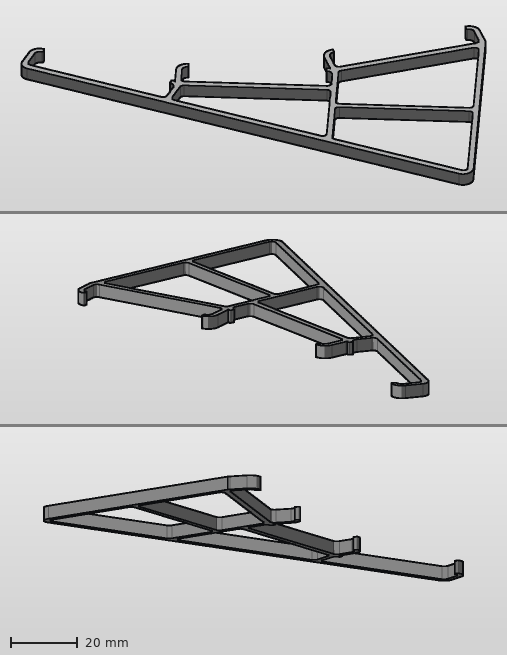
import cadquery as cq
import math


thickness = 4.0
wall = 1.8
floor_depth = 2.1
bracket_length = 146.29
tilt_step = 20.0
clip_count = 3
lean_angle = 90.0 + tilt_step

slot_width = 45.0
clip_height = 9.28
lip_thickness = 1.6
lip_reach = 1.85
lip_tip_radius = 0.25
lip_inner_radius = 1.7
lip_outer_radius = lip_inner_radius + lip_thickness
floor_radius = 1.3
outer_radius = 2.7

step_along = 45.9
step_up = 9.8

heel_radius = 3.2
window_radius = 1.2
brace_height = 17.6


def turned(vector, angle):
    """Rotate a plane vector by an angle in degrees."""
    c = math.cos(math.radians(angle))
    s = math.sin(math.radians(angle))
    return (vector[0] * c - vector[1] * s, vector[0] * s + vector[1] * c)


def moved(point, along, up, angle):
    """Point reached by going along and up in a frame tilted by angle."""
    shift = turned((along, up), angle)
    return (point[0] + shift[0], point[1] + shift[1])


def meet(line_a, line_b):
    """Crossing of two lines, each given as (point, direction angle)."""
    (ax, ay), angle_a = line_a
    (bx, by), angle_b = line_b
    ux, uy = turned((1, 0), angle_a)
    vx, vy = turned((1, 0), angle_b)
    reach = ((bx - ax) * vy - (by - ay) * vx) / (ux * vy - uy * vx)
    return (ax + reach * ux, ay + reach * uy)


def offset(line, distance):
    """Parallel line, shifted to the left of its direction for a positive distance."""
    point, angle = line
    return (moved(point, 0, distance, angle), angle)


def plate(points):
    return cq.Workplane("XY").polyline(points).close().extrude(thickness)


tilts = [tilt_step * i for i in range(clip_count)]
corners = [(wall, floor_depth)]
for tilt in tilts[:-1]:
    corners.append(moved(corners[-1], step_along, step_up, tilt))

bottom = ((0, 0), 0)
base_top = offset(bottom, floor_depth)
floors = list(zip(corners, tilts))
post_lefts = [(moved(c, slot_width, 0, t), 90 + t) for c, t in floors[:-1]]
post_rights = [offset(line, -wall) for line in post_lefts]

heel_center = (bracket_length - heel_radius, heel_radius)
leg_outer = offset((heel_center, lean_angle), -heel_radius)
leg_inner = offset(leg_outer, wall)
brace_bottom = (meet(post_rights[1], ((0, brace_height), 0)), tilt_step)
brace_top = offset(brace_bottom, wall)


def half_clip():
    """Left half of a clip: half the floor, the side wall and its inward lip."""
    middle = slot_width / 2
    lip_bottom = clip_height - lip_thickness
    outer_turn = clip_height - lip_outer_radius
    inner_turn = lip_bottom - lip_inner_radius
    profile = (
        cq.Workplane("XY")
        .moveTo(middle, -floor_depth)
        .lineTo(outer_radius - wall, -floor_depth)
        .tangentArcPoint((-wall, outer_radius - floor_depth), relative=False)
        .lineTo(-wall, outer_turn)
        .tangentArcPoint((lip_outer_radius - wall, clip_height), relative=False)
        .lineTo(lip_reach, clip_height)
        .lineTo(lip_reach, lip_bottom)
        .lineTo(lip_inner_radius, lip_bottom)
        .tangentArcPoint((0, inner_turn), relative=False)
        .lineTo(0, floor_radius)
        .tangentArcPoint((floor_radius, 0), relative=False)
        .lineTo(middle, 0)
        .close()
    )
    margin = lip_tip_radius / 2
    tip = cq.selectors.BoxSelector(
        (lip_reach - margin, lip_bottom - margin, -margin),
        (lip_reach + margin, clip_height + margin, thickness + margin),
    )
    return profile.extrude(thickness).edges("|Z").edges(tip).fillet(lip_tip_radius)


def clip(corner, tilt):
    left = half_clip()
    right = left.mirror("YZ").translate((slot_width, 0, 0))
    whole = left.union(right)
    return whole.rotate((0, 0, 0), (0, 0, 1), tilt).translate((*corner, 0))


def frame():
    """Solid outline below the clip floors, with the heel rounded."""
    heel = meet(bottom, leg_outer)
    last_wall = (moved(corners[2], slot_width, 0, tilts[2]), 90 + tilts[2])
    last_wall_outer = offset(last_wall, -wall)
    outline = [
        (outer_radius, 0),
        heel,
        meet(leg_outer, last_wall_outer),
        last_wall[0],
        corners[2],
        meet(floors[2], post_lefts[1]),
        meet(post_lefts[1], floors[1]),
        corners[1],
        meet(floors[1], post_lefts[0]),
        meet(post_lefts[0], base_top),
        (outer_radius, floor_depth),
    ]
    near_heel = cq.selectors.NearestToPointSelector((*heel, thickness / 2))
    return plate(outline).edges("|Z").edges(near_heel).fillet(heel_radius)


def window(lines):
    """Opening bounded by the given lines in order, with rounded corners."""
    points = [meet(a, b) for a, b in zip(lines, lines[1:] + lines[:1])]
    return plate(points).edges("|Z").fillet(window_radius)


shelf_bottoms = [offset(line, -floor_depth) for line in floors]
windows = [
    [base_top, post_lefts[1], shelf_bottoms[1], post_rights[0]],
    [base_top, leg_inner, brace_bottom, post_rights[1]],
    [brace_top, leg_inner, shelf_bottoms[2], post_rights[1]],
]

result = frame()
for opening in windows:
    result = result.cut(window(opening))
for corner, tilt in floors:
    result = result.union(clip(corner, tilt))